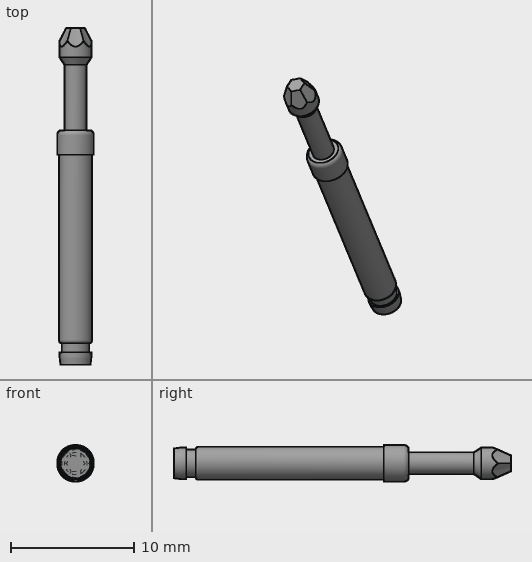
import cadquery as cq
import math

total_length = 27.3
tip_y = total_length / 2
tail_y = -total_length / 2

head_radius = 1.3
neck_radius = 0.9
head_straight_end = 2.4
head_length = 3.0
blank_radius = 2 * head_radius

collar_radius = 1.5
collar_start = 8.3
collar_length = 2.0
collar_round_length = 0.4
collar_round_depth = 0.25
barrel_radius = 1.35
barrel_round_length = 0.25
barrel_round_depth = 0.15

plug_radius = 1.3
plug_end_radius = 1.22
plug_length = 1.0
plug_taper_length = 0.6
groove_radius = 1.13
groove_length = 0.75

flute_count = 6
ridge_tip_radius = 0.75
ridge_slope = 0.52
valley_ratio = 0.84


def tangent_arc_radius(length, depth):
    """Radius of an arc that leaves a cylinder tangentially and drops by depth over length."""
    return (length ** 2 + depth ** 2) / (2 * depth)


def make_turned_body():
    """Revolve the stepped half profile (radius, Y) about the Y axis."""
    head_straight_y = tip_y - head_straight_end
    neck_y = tip_y - head_length
    collar_y = tip_y - collar_start
    barrel_y = collar_y - collar_length
    plug_y = tail_y + plug_length
    barrel_end_y = plug_y + groove_length
    collar_round_radius = tangent_arc_radius(collar_round_length, collar_round_depth)
    barrel_round_radius = tangent_arc_radius(barrel_round_length, barrel_round_depth)
    profile = (
        cq.Workplane("XY")
        .moveTo(0, tip_y)
        .lineTo(head_radius, tip_y)
        .lineTo(head_radius, head_straight_y)
        .lineTo(neck_radius, neck_y)
        .lineTo(neck_radius, collar_y)
        .lineTo(collar_radius - collar_round_depth, collar_y)
        .radiusArc((collar_radius, collar_y - collar_round_length), collar_round_radius)
        .lineTo(collar_radius, barrel_y)
        .lineTo(barrel_radius, barrel_y)
        .lineTo(barrel_radius, barrel_end_y + barrel_round_length)
        .radiusArc((barrel_radius - barrel_round_depth, barrel_end_y), barrel_round_radius)
        .lineTo(groove_radius, barrel_end_y)
        .lineTo(groove_radius, plug_y)
        .lineTo(plug_radius, plug_y)
        .lineTo(plug_radius, tail_y + plug_taper_length)
        .lineTo(plug_end_radius, tail_y)
        .lineTo(0, tail_y)
        .close()
    )
    return profile.revolve(360, (0, 0, 0), (0, 1, 0))


def star_points(ridge_radius):
    """Corners of the fluted section: ridges and valleys in turn, first ridge on +X."""
    corner_count = 2 * flute_count
    points = []
    for i in range(corner_count):
        angle = 2 * math.pi * i / corner_count
        radius = ridge_radius if i % 2 == 0 else ridge_radius * valley_ratio
        points.append((radius * math.cos(angle), radius * math.sin(angle)))
    return points


def make_flute_envelope():
    """Fluted pyramid that widens from the tip to the end of the head."""
    base_ridge_radius = ridge_tip_radius + ridge_slope * head_length
    return (
        cq.Workplane("XZ", origin=(0, tip_y, 0))
        .polyline(star_points(ridge_tip_radius))
        .close()
        .workplane(offset=head_length)
        .polyline(star_points(base_ridge_radius))
        .close()
        .loft(ruled=True, combine=True)
    )


def make_head_blank():
    """Oversized cylinder around the length of the head."""
    return (
        cq.Workplane("XZ", origin=(0, tip_y, 0))
        .circle(blank_radius)
        .extrude(head_length)
    )


flute_waste = make_head_blank().cut(make_flute_envelope())
result = make_turned_body().cut(flute_waste)